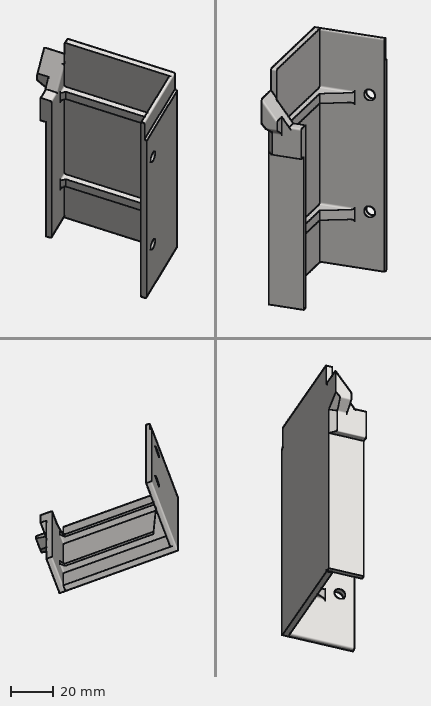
import cadquery as cq
import math


overall_width = 69.0
overall_height = 120.0
overall_depth = 36.0
edge_radius = 1.0

sheet = 3.0
wall_inner_x = overall_width - sheet
wall_rim_recess = 1.0
wall_rim_step_z = 108.0
rim_flat = 0.002
plate_left_x = 12.0

left_wall_depth = 17.9
left_wall_outer_x = plate_left_x - sheet
post_outer_x = left_wall_outer_x - sheet
post_bottom_z = 78.4
post_bottom_radius = 0.5
post_top_z = 94.0

slope_top_z = 109.0
slope_end_depth = 11.7
slope = (slope_top_z - post_top_z) / slope_end_depth

hook_depth = 8.0
hook_tip_z = 94.0
hook_root_z = 90.0
back_bevel = 3.0
back_bevel_tip_z = 96.4
back_bevel_root_z = 92.0
back_bevel_front_z = 90.2

rib_centers_z = (27.5, 87.5)
rib_thickness = 5.0
flared_thickness = rib_thickness + 2 * edge_radius
rib_depth = 6.0
rib_left_bevel = 2.0
gusset_start_x = 58.7
gusset_depth = 21.0
hole_centers_z = (30.0, 90.0)
hole_center_depth = 28.5
hole_diameter = 5.5


def box(x_range, depth_range, z_range):
    """Box between two X values, two depths and two Z values."""
    width = x_range[1] - x_range[0]
    depth = depth_range[1] - depth_range[0]
    height = z_range[1] - z_range[0]
    corner = (x_range[0], -depth_range[1], z_range[0])
    return cq.Workplane("XY").box(width, depth, height, centered=False).translate(corner)


def side_prism(depth_z_points, x_start, x_end):
    """Prism along X whose outline is given as (depth, z) points."""
    points = [(-depth, z) for depth, z in depth_z_points]
    return cq.Workplane("YZ", origin=(x_start, 0, 0)).polyline(points).close().extrude(x_end - x_start)


def edge_near(x, depth, z):
    return cq.selectors.NearestToPointSelector((x, -depth, z))


def slope_z(depth):
    """Height of the sloping top at a given depth."""
    return slope_top_z - slope * depth


def back_plate():
    plate = box((plate_left_x, overall_width - wall_rim_recess), (0, sheet), (0, overall_height))
    return plate.edges("|Y and >Z").fillet(edge_radius)


def right_wall():
    rim_x = overall_width - wall_rim_recess
    outline = (
        cq.Workplane("XZ")
        .moveTo(wall_inner_x, 0)
        .lineTo(overall_width, 0)
        .lineTo(overall_width, wall_rim_step_z)
        .lineTo(rim_x, wall_rim_step_z + wall_rim_recess)
        .lineTo(rim_x, overall_height)
        .lineTo(wall_inner_x, overall_height)
        .close()
    )
    wall = outline.extrude(overall_depth)
    rim_radius = edge_radius - rim_flat / 2
    return wall.edges("|Y and (>Z or <Z)").fillet(rim_radius)


def left_wall():
    wall = box((left_wall_outer_x, plate_left_x), (0, left_wall_depth), (0, post_top_z - edge_radius))
    return wall.edges("|Y and >X and <Z").fillet(edge_radius)


def post():
    """Flat-topped block with rounded top edges, joined to a wedge that carries the sloping top."""
    block = box((post_outer_x, plate_left_x), (0, left_wall_depth), (post_bottom_z, post_top_z))
    block = block.edges("|Y and >Z").fillet(edge_radius)
    foot_z = post_top_z - edge_radius
    foot_depth = (slope_top_z - foot_z) / slope
    wedge_outline = [
        (sheet, post_bottom_z),
        (foot_depth, post_bottom_z),
        (foot_depth, foot_z),
        (sheet, slope_z(sheet)),
    ]
    wedge = side_prism(wedge_outline, post_outer_x, plate_left_x)
    middle_depth = (sheet + foot_depth) / 2
    wedge = wedge.edges(edge_near(plate_left_x, middle_depth, slope_z(middle_depth))).fillet(edge_radius)
    rear_outline = [(0, post_bottom_z), (sheet, post_bottom_z), (sheet, slope_z(sheet)), (0, slope_top_z)]
    rear = side_prism(rear_outline, post_outer_x, plate_left_x)
    body = block.union(wedge).union(rear).clean()
    return body.edges("|Y and <X and <Z").fillet(post_bottom_radius)


def hook():
    outline = [(0, hook_root_z), (hook_depth, hook_root_z), (hook_depth, slope_z(hook_depth)), (0, slope_top_z)]
    body = side_prism(outline, 0, post_outer_x)
    slope_middle = hook_depth / 2
    body = body.edges(edge_near(0, slope_middle, slope_z(slope_middle))).fillet(edge_radius)
    underside = (
        cq.Workplane("XZ")
        .polyline([(0, hook_root_z), (post_outer_x, hook_root_z), (0, hook_tip_z)])
        .close()
        .extrude(hook_depth)
    )
    body = body.cut(underside)
    return body.edges(edge_near(0, slope_middle, hook_tip_z)).fillet(edge_radius)


def hooked_post():
    """Post and hook joined, with the root of the hook underside rounded."""
    body = post().union(hook())
    return body.edges(edge_near(post_outer_x, hook_depth / 2, hook_root_z)).fillet(edge_radius)


def bevel_zone(bottom_z, top_z):
    """Upright prism behind the bevel, spanning the hook and the rear edge of the post."""
    return (
        cq.Workplane("XY", origin=(0, 0, bottom_z))
        .polyline([(0, 0), (left_wall_outer_x, 0), (post_outer_x, -back_bevel), (0, -back_bevel)])
        .close()
        .extrude(top_z - bottom_z)
    )


def hook_bevel():
    """Part of the bevel zone below a plane that falls toward the post and toward the front."""
    tip = cq.Vector(0, 0, back_bevel_tip_z)
    root = cq.Vector(left_wall_outer_x, 0, back_bevel_root_z)
    front = cq.Vector(post_outer_x, -back_bevel, back_bevel_front_z)
    downward = (root - tip).cross(front - tip)
    plane = cq.Plane(origin=tip, xDir=root - tip, normal=downward)
    reach = 2 * overall_width
    below = cq.Workplane(plane).rect(reach, reach).extrude(reach)
    return below.intersect(bevel_zone(hook_root_z, slope_top_z))


def beveled_back(catch):
    """Bevel the rear edges of the post and of the hook underside."""
    return catch.cut(bevel_zone(post_bottom_z, hook_root_z)).cut(hook_bevel())


def rib_plan():
    """Rib seen along Z, with a bevel at its left end and a gusset on the right wall."""
    return (
        cq.Workplane("XY", origin=(0, 0, -flared_thickness / 2))
        .moveTo(plate_left_x, 0)
        .lineTo(plate_left_x, -rib_depth - rib_left_bevel)
        .lineTo(plate_left_x + rib_left_bevel, -rib_depth)
        .lineTo(gusset_start_x, -rib_depth)
        .lineTo(wall_inner_x, -gusset_depth)
        .lineTo(wall_inner_x, 0)
        .close()
        .extrude(flared_thickness)
    )


def rib_section():
    """Rib seen along Y, flaring through a root round at each end."""
    top = flared_thickness / 2
    flat = rib_thickness / 2
    left = plate_left_x
    right = wall_inner_x
    mid = edge_radius * math.sqrt(0.5)
    left_center = left + edge_radius
    right_center = right - edge_radius
    return (
        cq.Workplane("XZ")
        .moveTo(left, -top)
        .lineTo(left, top)
        .threePointArc((left_center - mid, top - mid), (left_center, flat))
        .lineTo(right_center, flat)
        .threePointArc((right_center + mid, top - mid), (right, top))
        .lineTo(right, -top)
        .threePointArc((right_center + mid, mid - top), (right_center, -flat))
        .lineTo(left_center, -flat)
        .threePointArc((left_center - mid, mid - top), (left, -top))
        .close()
        .extrude(gusset_depth)
    )


def rib(center_z):
    return rib_plan().intersect(rib_section()).translate((0, 0, center_z))


def screw_hole(center_z):
    return (
        cq.Workplane("YZ", origin=(wall_inner_x, -hole_center_depth, center_z))
        .circle(hole_diameter / 2)
        .extrude(sheet)
    )


result = back_plate().union(right_wall()).union(left_wall()).union(beveled_back(hooked_post()))
for rib_z in rib_centers_z:
    result = result.union(rib(rib_z))
for hole_z in hole_centers_z:
    result = result.cut(screw_hole(hole_z))